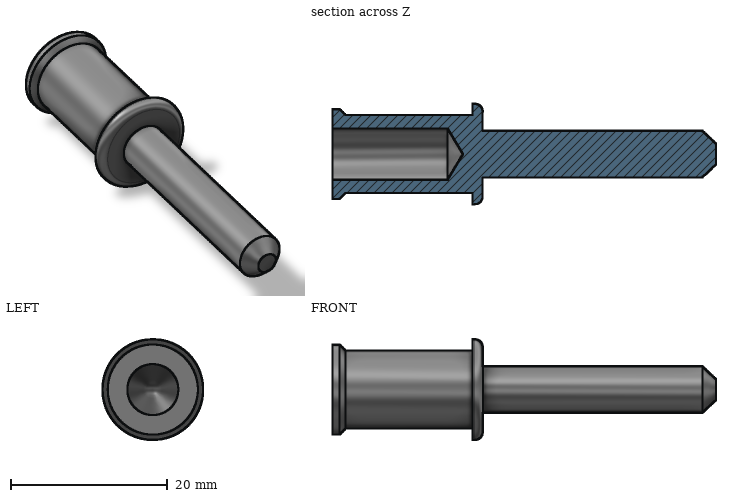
import cadquery as cq
import math

total_length = 49.0
lip_diameter = 11.5
lip_width = 0.95
barrel_diameter = 10.0
flange_diameter = 12.9
flange_start = 17.9
flange_width = 1.3
flange_round = 1.05
pin_diameter = 6.0
tip_diameter = 2.65
tip_length = 1.75
bore_diameter = 6.5
bore_depth = 14.7
drill_point_angle = 118.0


def cylinder(diameter, start, length):
    """Cylinder along +X, beginning at the given X position."""
    return cq.Workplane("YZ", origin=(start, 0, 0)).circle(diameter / 2).extrude(length)


def revolve_about_x(profile):
    return profile.close().revolve(360, (0, 0, 0), (1, 0, 0))


def make_barrel():
    """Barrel with a lip at its open end and a 45 degree cone behind the lip."""
    barrel_radius = barrel_diameter / 2
    lip_radius = lip_diameter / 2
    cone_end = lip_width + lip_radius - barrel_radius
    profile = (
        cq.Workplane("XY")
        .lineTo(0, lip_radius)
        .lineTo(lip_width, lip_radius)
        .lineTo(cone_end, barrel_radius)
        .lineTo(flange_start, barrel_radius)
        .lineTo(flange_start, 0)
    )
    return revolve_about_x(profile)


def make_flange():
    """Flange with its pin-side rim rounded."""
    return cylinder(flange_diameter, flange_start, flange_width).faces(">X").edges().fillet(flange_round)


def make_pin():
    """Pin with a tapered, flat-ended tip."""
    pin_radius = pin_diameter / 2
    profile = (
        cq.Workplane("XY")
        .moveTo(flange_start, 0)
        .lineTo(flange_start, pin_radius)
        .lineTo(total_length - tip_length, pin_radius)
        .lineTo(total_length, tip_diameter / 2)
        .lineTo(total_length, 0)
    )
    return revolve_about_x(profile)


def make_bore():
    """Blind bore ending in a conical drill point."""
    bore_radius = bore_diameter / 2
    point_length = bore_radius / math.tan(math.radians(drill_point_angle / 2))
    profile = (
        cq.Workplane("XY")
        .lineTo(0, bore_radius)
        .lineTo(bore_depth, bore_radius)
        .lineTo(bore_depth + point_length, 0)
    )
    return revolve_about_x(profile)


result = make_barrel().union(make_flange()).union(make_pin()).cut(make_bore())